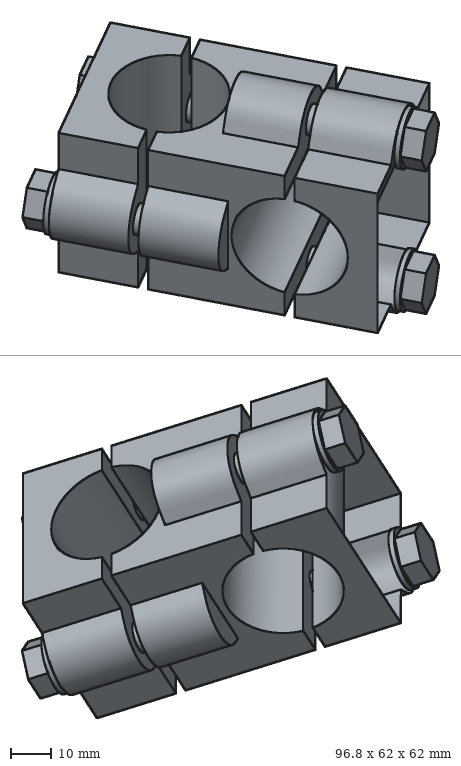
import cadquery as cq
import math

block_length = 82.9
block_side = 45.0
half_length = block_length / 2
half_side = block_side / 2

bore_diameter = 30.2
slit_width = 2.6
vertical_bore_x = -19.5
cross_bore_x = 18.6

boss_reach = 31
boss_radius = 10.4
flank_angle = 30
boss_inner_end = 2.6
end_boss_inner_end = -2.2

shank_diameter = 8.0
washer_diameter = 16.0
washer_thickness = 1.5
head_across_flats = 13.1
head_height = 48.4 - half_length - washer_thickness
bolt_offset = boss_reach - washer_diameter / 2


def boss(start_x, end_x):
    """Boss on the +Y side, running along X and rooted inside the block."""
    arc_center = boss_reach - boss_radius
    angle = math.radians(flank_angle)
    tangent_y = arc_center + boss_radius * math.sin(angle)
    tangent_z = boss_radius * math.cos(angle)
    root_z = tangent_z + (tangent_y - half_side) * math.tan(angle)
    return (
        cq.Workplane("YZ", origin=(start_x, 0, 0))
        .moveTo(bolt_offset - washer_diameter / 2, root_z)
        .lineTo(half_side, root_z)
        .lineTo(tangent_y, tangent_z)
        .threePointArc((boss_reach, 0), (tangent_y, -tangent_z))
        .lineTo(half_side, -root_z)
        .lineTo(bolt_offset - washer_diameter / 2, -root_z)
        .close()
        .extrude(end_x - start_x)
    )


def bore_and_slit(bore_x, plane):
    """Tube bore through the block, with the slit that splits it and its bosses."""
    bore = cq.Workplane(plane).center(bore_x, 0).circle(bore_diameter / 2).extrude(block_side, both=True)
    slit = cq.Workplane("XY").box(slit_width, 2 * boss_reach, 2 * boss_reach)
    return bore.union(slit.translate((bore_x, 0, 0)))


def bolt(y, z, side, inner_end):
    """Bolt along X; side is -1 for a head on the -X face, 1 for the +X face."""
    face = cq.Workplane("YZ", origin=(side * half_length, y, z))
    shank = face.circle(shank_diameter / 2).extrude(inner_end - side * half_length)
    washer = face.circle(washer_diameter / 2).extrude(side * washer_thickness)
    head_corners = head_across_flats / math.cos(math.pi / 6)
    head = face.polygon(6, head_corners).extrude(side * (washer_thickness + head_height))
    return shank.union(washer).union(head)


body = cq.Workplane("XY").box(block_length, block_side, block_side)

side_boss = boss(-half_length, boss_inner_end)
top_boss = boss(end_boss_inner_end, half_length).rotate((0, 0, 0), (1, 0, 0), 90)
for turn in (0, 180):
    body = body.union(side_boss.rotate((0, 0, 0), (1, 0, 0), turn))
    body = body.union(top_boss.rotate((0, 0, 0), (1, 0, 0), turn))

body = body.cut(bore_and_slit(vertical_bore_x, "XY"))
body = body.cut(bore_and_slit(cross_bore_x, "XZ"))

for offset in (-bolt_offset, bolt_offset):
    body = body.union(bolt(offset, 0, -1, boss_inner_end))
    body = body.union(bolt(0, offset, 1, end_boss_inner_end))

result = body